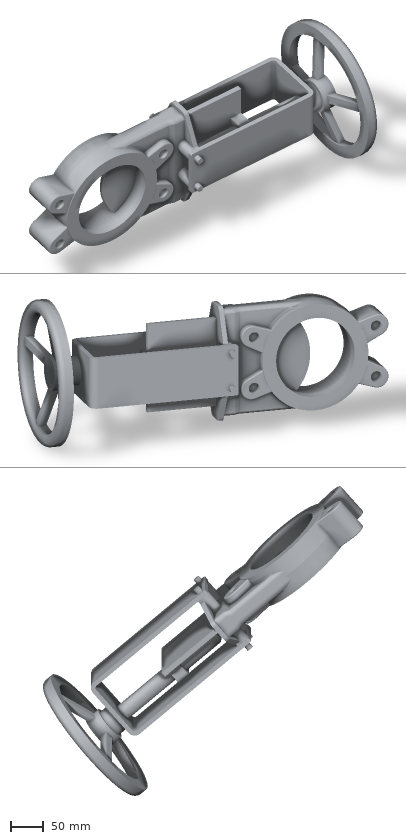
import cadquery as cq
import math


bore_radius = 62.5
ring_half_width = 28.0
ring_mid_radius = 86.0
ring_face_radius = 84.2

bolt_circle_radius = 105.0
lug_angle = 22.5
lug_hole_diameter = 17.0
lug_hole_depth = 12.0
lug_half_width = 26.7
lug_tip_y = 117.0
lug_round_radius = 16.9
lug_flank_taper = 5.0
lug_edge_fillet = 2.0

housing_half_height = 84.6
housing_half_width = 14.7
neck_half_width = 18.0
step_low_y = 116.0
step_high_y = 125.0
housing_round_width = 8.2
housing_round_height = 5.0
housing_round_radius = (housing_round_width**2 + housing_round_height**2) / (2 * housing_round_height)
ring_root_fillet = 3.0

plate_low_y = 143.0
plate_thickness = 7.6
plate_top_y = plate_low_y + plate_thickness
plate_half_height = 91.1
plate_end_half_width = 17.0
plate_mid_half_height = 28.0
plate_corner_radius = 9.5

yoke_center_x = -0.7
yoke_outer_width = 107.0
yoke_thickness = 7.0
yoke_height = 80.0
yoke_low_y = 130.3
yoke_top_y = 364.8
yoke_bend_radius = 12.0
yoke_corner_radius = 4.0

bolt_diameter = 10.3
bolt_half_length = 62.7
boss_diameter = 20.6
bolt_y = yoke_low_y + boss_diameter / 2
bolt_z = 28.3

gate_center_x = yoke_center_x
gate_thickness = 8.0
gate_half_height = 69.8
gate_top_y = 259.7
gate_tip_y = 0.8
gate_end_radius = 87.0

nut_length = 20.0
nut_face_x = 35.4
nut_height = 40.0
nut_corner_radius = 6.0

stem_x = 19.0
stem_diameter = 25.5
stem_low_y = 168.0
stem_chamfer_length = 5.0
stem_chamfer_depth = 3.4
collar_diameter = 45.0

wheel_diameter = 225.0
wheel_inner_diameter = 184.5
wheel_low_y = 404.6
overall_length = 542.26
wheel_top_y = overall_length - lug_tip_y
wheel_edge_fillet = 8.6
hub_diameter = 55.0
hub_low_y = 383.6
hub_top_y = 408.0
spoke_count = 4
spoke_angle = 16.5
spoke_width = 14.0
spoke_thickness = 12.0
spoke_hub_y = 391.7
spoke_rim_y = 407.5


def cylinder_x(diameter, x_start, x_end, y, z):
    """Cylinder along X between two stations."""
    base = cq.Workplane("YZ", origin=(x_start, 0, 0)).center(y, z)
    return base.circle(diameter / 2).extrude(x_end - x_start)


def cylinder_y(diameter, y_start, y_end):
    """Cylinder along the stem axis between two stations."""
    base = cq.Workplane("XZ", origin=(stem_x, y_start, 0))
    return base.circle(diameter / 2).extrude(y_start - y_end)


def block(x_low, x_high, y_low, y_high, height):
    """Box centred on Z."""
    size = (x_high - x_low, y_high - y_low, height)
    middle = ((x_low + x_high) / 2, (y_low + y_high) / 2, 0)
    return cq.Workplane("XY").box(*size).translate(middle)


def make_ring():
    profile = [
        (-ring_half_width, 0),
        (-ring_half_width, ring_face_radius),
        (0, ring_mid_radius),
        (ring_half_width, ring_face_radius),
        (ring_half_width, 0),
    ]
    return cq.Workplane("XY").polyline(profile).close().revolve(360, (0, 0, 0), (1, 0, 0))


def make_lug():
    """Radial tongue along +Y that tapers to a round tip, before it is turned to a bolt position."""
    tip_center_y = (lug_tip_y - lug_round_radius) / math.cos(math.radians(lug_angle))
    taper = math.radians(lug_flank_taper)
    tangent_y = tip_center_y + lug_round_radius * math.sin(taper)
    tangent_z = lug_round_radius * math.cos(taper)
    root_z = tangent_z + (tangent_y - bore_radius) * math.tan(taper)
    base = cq.Workplane("YZ", origin=(-lug_half_width, 0, 0))
    outline = (
        base.moveTo(bore_radius, root_z)
        .lineTo(tangent_y, tangent_z)
        .threePointArc((tip_center_y + lug_round_radius, 0), (tangent_y, -tangent_z))
        .lineTo(bore_radius, -root_z)
        .close()
    )
    return outline.extrude(2 * lug_half_width).faces("<X or >X").edges().fillet(lug_edge_fillet)


def housing_outline(half_width, y):
    """Cross-section of the housing at height y, with its corners rounded off towards the ends."""
    x_flat = half_width - housing_round_width
    z_side = housing_half_height - housing_round_height
    drop = housing_round_radius - math.sqrt(housing_round_radius**2 - (housing_round_width / 2) ** 2)
    x_mid = x_flat + housing_round_width / 2
    z_mid = housing_half_height - drop
    return (
        cq.Workplane("XZ", origin=(0, y, 0))
        .moveTo(x_flat, housing_half_height)
        .threePointArc((x_mid, z_mid), (half_width, z_side))
        .lineTo(half_width, -z_side)
        .threePointArc((x_mid, -z_mid), (x_flat, -housing_half_height))
        .lineTo(-x_flat, -housing_half_height)
        .threePointArc((-x_mid, -z_mid), (-half_width, -z_side))
        .lineTo(-half_width, z_side)
        .threePointArc((-x_mid, z_mid), (-x_flat, housing_half_height))
        .close()
    )


def make_housing_block():
    lower = housing_outline(housing_half_width, 0).extrude(-step_low_y)
    neck = housing_outline(neck_half_width, step_high_y).extrude(step_high_y - plate_low_y)
    ends = (
        housing_outline(housing_half_width, step_low_y).wires().val(),
        housing_outline(neck_half_width, step_high_y).wires().val(),
    )
    step = cq.Workplane(cq.Solid.makeLoft(ends, True))
    return lower.union(step).union(neck)


def make_plate():
    mid_half_width = yoke_outer_width / 2 - yoke_thickness
    outline = [
        (mid_half_width, plate_mid_half_height),
        (plate_end_half_width, plate_half_height),
        (-plate_end_half_width, plate_half_height),
        (-mid_half_width, plate_mid_half_height),
        (-mid_half_width, -plate_mid_half_height),
        (-plate_end_half_width, -plate_half_height),
        (plate_end_half_width, -plate_half_height),
        (mid_half_width, -plate_mid_half_height),
    ]
    base = cq.Workplane("XZ", origin=(0, plate_top_y, 0))
    solid = base.polyline(outline).close().extrude(plate_thickness)
    return solid.faces("<Z or >Z").edges("|Y").fillet(plate_corner_radius)


def make_yoke():
    half_width = yoke_outer_width / 2
    left = yoke_center_x - half_width
    right = yoke_center_x + half_width
    strap = block(left, right, yoke_low_y, yoke_top_y, yoke_height)
    strap = strap.faces(">Y").edges("|Z").fillet(yoke_bend_radius)
    strap = strap.faces("<Y").edges("|X").fillet(yoke_corner_radius)
    inner = block(
        left + yoke_thickness,
        right - yoke_thickness,
        yoke_low_y - yoke_thickness,
        yoke_top_y - yoke_thickness,
        2 * yoke_height,
    )
    inner = inner.faces(">Y").edges("|Z").fillet(yoke_bend_radius - yoke_thickness)
    return strap.cut(inner)


def make_gate_plate():
    end_drop = gate_end_radius - math.sqrt(gate_end_radius**2 - gate_half_height**2)
    corner_y = gate_tip_y + end_drop
    base = cq.Workplane("YZ", origin=(gate_center_x - gate_thickness / 2, 0, 0))
    outline = (
        base.moveTo(gate_top_y, gate_half_height)
        .lineTo(corner_y, gate_half_height)
        .threePointArc((gate_tip_y, 0), (corner_y, -gate_half_height))
        .lineTo(gate_top_y, -gate_half_height)
        .close()
    )
    return outline.extrude(gate_thickness)


def make_stem():
    rod = cylinder_y(stem_diameter, stem_low_y, hub_top_y)
    rod = rod.faces("<Y").chamfer(stem_chamfer_length, stem_chamfer_depth)
    return rod.union(cylinder_y(collar_diameter, yoke_top_y, hub_low_y))


def make_spoke():
    """Straight arm along +X that leans back from the hub to the rim."""
    hub_radius = hub_diameter / 2
    rim_radius = wheel_inner_diameter / 2
    lean = (spoke_rim_y - spoke_hub_y) / (rim_radius - hub_radius)
    inner_radius = stem_diameter / 2
    outer_radius = (rim_radius + wheel_diameter / 2) / 2
    inner_y = spoke_hub_y - lean * (hub_radius - inner_radius)
    outer_y = spoke_rim_y
    side = [
        (inner_radius, inner_y),
        (rim_radius, outer_y),
        (outer_radius, outer_y),
        (outer_radius, outer_y + spoke_thickness),
        (rim_radius, outer_y + spoke_thickness),
        (inner_radius, inner_y + spoke_thickness),
    ]
    base = cq.Workplane("XY", origin=(0, 0, -spoke_width / 2))
    return base.polyline(side).close().extrude(spoke_width)


def make_handwheel():
    wheel = cylinder_y(wheel_diameter, wheel_low_y, wheel_top_y)
    wheel = wheel.cut(cylinder_y(wheel_inner_diameter, wheel_low_y, wheel_top_y))
    wheel = wheel.faces(">Y").edges().fillet(wheel_edge_fillet)
    wheel = wheel.union(cylinder_y(hub_diameter, hub_low_y, hub_top_y))
    for index in range(spoke_count):
        angle = -(spoke_angle + index * 360 / spoke_count)
        spoke = make_spoke().rotate((0, 0, 0), (0, 1, 0), angle)
        wheel = wheel.union(spoke.translate((stem_x, 0, 0)))
    return wheel


def make_ring_root():
    """Concave flare where the ring stands up from the broad +X face of the housing."""
    draft = (ring_mid_radius - ring_face_radius) / ring_half_width
    flare_end_x = housing_half_width + ring_root_fillet
    inner_radius = ring_mid_radius - draft * flare_end_x
    outer_radius = inner_radius + ring_root_fillet
    buried_radius = inner_radius - ring_root_fillet
    sag = ring_root_fillet * (1 - math.cos(math.radians(45)))
    flare = (
        cq.Workplane("XY")
        .moveTo(housing_half_width, buried_radius)
        .lineTo(housing_half_width, outer_radius)
        .threePointArc((housing_half_width + sag, inner_radius + sag), (flare_end_x, inner_radius))
        .lineTo(flare_end_x, buried_radius)
        .close()
        .revolve(360, (0, 0, 0), (1, 0, 0))
    )
    flat_height = 2 * (housing_half_height - housing_round_height)
    return flare.intersect(block(0, flare_end_x, 0, step_low_y, flat_height))


def make_valve_body():
    body = make_ring().union(make_housing_block())
    ring_root = make_ring_root()
    body = body.union(ring_root).union(ring_root.mirror("YZ")).union(make_plate())
    lug = make_lug()
    lug_angles = [lug_angle, -lug_angle, 180 - lug_angle, 180 + lug_angle]
    for angle in lug_angles:
        body = body.union(lug.rotate((0, 0, 0), (1, 0, 0), angle))
    yoke = make_yoke()
    inner_half_width = yoke_outer_width / 2 - yoke_thickness
    boss_left = yoke_center_x - inner_half_width
    boss_right = yoke_center_x + inner_half_width
    boss_web = block(boss_left, boss_right, bolt_y, plate_top_y, boss_diameter)
    for z in (-bolt_z, bolt_z):
        body = body.union(boss_web.translate((0, 0, z)))
        body = body.union(cylinder_x(boss_diameter, boss_left, boss_right, bolt_y, z))
        body = body.union(cylinder_x(bolt_diameter, -bolt_half_length, bolt_half_length, bolt_y, z))
    body = body.union(yoke)
    body = body.cut(cylinder_x(2 * bore_radius, -ring_half_width, ring_half_width, 0, 0))
    hole_bottom = lug_half_width - lug_hole_depth
    for angle in lug_angles:
        hole_y = bolt_circle_radius * math.cos(math.radians(angle))
        hole_z = bolt_circle_radius * math.sin(math.radians(angle))
        for face_x, bottom_x in ((-lug_half_width, -hole_bottom), (hole_bottom, lug_half_width)):
            body = body.cut(cylinder_x(lug_hole_diameter, face_x, bottom_x, hole_y, hole_z))
    body = body.cut(cylinder_y(stem_diameter, stem_low_y, yoke_top_y))
    return body.cut(make_gate_plate())


def make_gate_and_drive():
    nut = block(gate_center_x, nut_face_x, gate_top_y - nut_length, gate_top_y, nut_height)
    nut = nut.faces(">X").edges("|Y").fillet(nut_corner_radius)
    return make_gate_plate().union(nut).union(make_stem()).union(make_handwheel())


valve_body = make_valve_body()
gate_and_drive = make_gate_and_drive()

result = cq.Compound.makeCompound([valve_body.val(), gate_and_drive.val()])